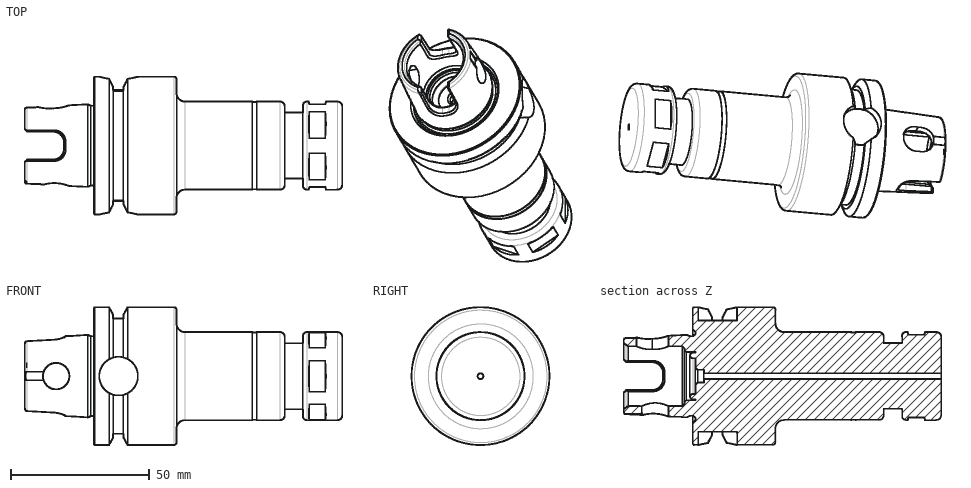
import cadquery as cq
import math


shank_length = 25.0
taper_large_radius = 15.0
taper_large_x = -2.1
taper_slope = 0.05
taper_tip_radius = taper_large_radius - taper_slope * (shank_length + taper_large_x)
tip_fillet = 0.9
relief_radius = 14.5
relief_end_x = -1.0

recess_depth = 1.0
recess_mouth_radius = 16.8
recess_floor_radius = 16.0
recess_root_radius = 15.3

bore_radius = 10.8
bore_mouth_radius = 12.0
bore_mouth_depth = 1.6
bore_bevel_radius = 11.4
bore_bevel_depth = 0.7
bore_depth = 22.0
bore_end_bevel = 0.8
step_mouth_radius = 9.3
step_radius = 8.7
step_depth = 26.0
lip_outer_radius = 17.0 / 2
lip_inner_radius = 12.9 / 2
lip_height = 2.0
socket_radius = 4.5 / 2
socket_mouth_radius = 6.0 / 2
socket_depth = 3.0
through_radius = 2.0 / 2

slot_width = 10.0
slot_length = 14.2
slot_corner_radius = 3.8
slot_edge_chamfer = 0.7
slot_mouth_flare = 1.0
cross_hole_diameter = 9.5
cross_hole_x = 11.4 - shank_length
back_hole_shift = 2.0
tip_flat_width = 3.1
tip_flat_height = 13.75

flange_radius = 25.0
flange_length = 30.0
flange_front_chamfer = 0.4
flange_back_fillet = 1.0
gripper_groove_x = 8.9
gripper_groove_radius = 20.9
gripper_groove_floor_width = 3.7
gripper_groove_mouth_width = 6.7
gripper_flank_radius = 22.3
pocket_diameter = 14.0
pocket_x = 9.0
pocket_floor = 20.2
pocket_pad_thickness = 2.0

sleeve_radius = 32.0 / 2
sleeve_end_x = 69.2
sleeve_root_fillet = 3.0
sleeve_end_fillet = 1.8
mark_groove_x = 57.4
mark_groove_width = 1.7
mark_groove_depth = 0.15
neck_radius = 24.0 / 2

nut_start_x = 75.7
nut_end_x = 90.0
nut_radius = 32.0 / 2
nut_back_fillet = 1.5
nut_front_fillet = 1.8
nut_flat_count = 6
nut_flat_height = 30.0 / 2
nut_flat_start_x = 78.1
nut_flat_end_x = 83.8
nut_flat_wall_run = 0.3

overlap = 1.0


def turned(points):
    """Solid of revolution about X of a closed (x, radius) outline."""
    return cq.Workplane("XY").polyline(points).close().revolve(360, (0, 0, 0), (1, 0, 0))


def rod(start_x, end_x, radius):
    """Round bar along X."""
    return cq.Workplane("YZ", origin=(start_x, 0, 0)).circle(radius).extrude(end_x - start_x)


def make_shank():
    """Hollow taper with a square-edged tip."""
    shank = turned([
        (-shank_length, 0),
        (-shank_length, taper_tip_radius),
        (taper_large_x, taper_large_radius),
        (relief_end_x, relief_radius),
        (recess_depth + overlap, relief_radius),
        (recess_depth + overlap, 0),
    ])
    bore = rod(-shank_length, bore_depth - shank_length, bore_radius)
    return shank.cut(bore.faces(">X").edges().chamfer(bore_end_bevel))


def cut_drive_slots(shank):
    """Open-ended slot through the top and bottom walls, broken along its edges."""
    half_width = slot_width / 2
    slot_end_x = slot_length - shank_length
    slot = (
        cq.Workplane("XY")
        .rect(2 * slot_length, slot_width)
        .extrude(flange_radius, both=True)
        .edges("|Z and >X")
        .fillet(slot_corner_radius)
        .translate((-shank_length, 0, 0))
    )
    shank = shank.cut(slot)
    slot_zone = cq.selectors.BoxSelector(
        (-shank_length + slot_edge_chamfer, -half_width - slot_edge_chamfer, -flange_radius),
        (slot_end_x + slot_edge_chamfer, half_width + slot_edge_chamfer, flange_radius),
    )
    wall_seams = cq.selectors.ParallelDirSelector(cq.Vector(0, 0, 1))
    return shank.edges(slot_zone - wall_seams).chamfer(slot_edge_chamfer)


def trim_tip(shank):
    """Round the outside of the tip, bevel its bore and flare the slot mouths."""
    tip_x = -shank_length
    round_end_x = tip_x + tip_fillet
    round_end_radius = taper_tip_radius + taper_slope * tip_fillet
    face_radius = round_end_radius - tip_fillet
    arc_inset = tip_fillet * (1 - math.sqrt(0.5))
    rounding = (
        cq.Workplane("XY")
        .moveTo(tip_x, face_radius)
        .threePointArc((tip_x + arc_inset, round_end_radius - arc_inset), (round_end_x, round_end_radius))
        .lineTo(round_end_x, round_end_radius + overlap)
        .lineTo(tip_x, round_end_radius + overlap)
        .close()
        .revolve(360, (0, 0, 0), (1, 0, 0))
    )
    bore_mouth = turned([
        (tip_x, 0),
        (tip_x, bore_mouth_radius),
        (tip_x + bore_bevel_depth, bore_bevel_radius),
        (tip_x + bore_mouth_depth, bore_radius),
        (tip_x + bore_mouth_depth, 0),
    ])
    half_width = slot_width / 2
    slot_flare = (
        cq.Workplane("XY")
        .polyline([
            (tip_x, -half_width - slot_mouth_flare),
            (tip_x + slot_mouth_flare, -half_width),
            (tip_x + slot_mouth_flare, half_width),
            (tip_x, half_width + slot_mouth_flare),
        ])
        .close()
        .extrude(flange_radius, both=True)
    )
    return shank.cut(rounding).cut(bore_mouth).cut(slot_flare)


def cut_cross_hole_and_flats(shank):
    hole = (
        cq.Workplane("XZ", origin=(cross_hole_x, 0, 0))
        .circle(cross_hole_diameter / 2)
        .extrude(flange_radius, both=True)
    )
    back_hole = (
        cq.Workplane("XZ", origin=(cross_hole_x - back_hole_shift, 0, 0))
        .circle(cross_hole_diameter / 2)
        .extrude(-flange_radius)
    )
    shank = shank.cut(hole).cut(back_hole)
    flat_length = cross_hole_x + shank_length
    for side in (-1, 1):
        flat = cq.Workplane("XY").box(flat_length, overlap, tip_flat_width, centered=(False, True, True))
        shank = shank.cut(flat.translate((-shank_length, side * (tip_flat_height + overlap / 2), 0)))
    return shank


def make_flange():
    flange = rod(0, flange_length, flange_radius)
    flange = flange.faces("<X").edges().chamfer(flange_front_chamfer)
    flange = flange.faces(">X").edges().fillet(flange_back_fillet)
    half_floor = gripper_groove_floor_width / 2
    half_mouth = gripper_groove_mouth_width / 2
    groove = turned([
        (gripper_groove_x - half_mouth, flange_radius + overlap),
        (gripper_groove_x - half_mouth, flange_radius),
        (gripper_groove_x - half_floor, gripper_flank_radius),
        (gripper_groove_x - half_floor, gripper_groove_radius),
        (gripper_groove_x + half_floor, gripper_groove_radius),
        (gripper_groove_x + half_floor, gripper_flank_radius),
        (gripper_groove_x + half_mouth, flange_radius),
        (gripper_groove_x + half_mouth, flange_radius + overlap),
    ])
    recess = turned([
        (0, 0),
        (0, recess_mouth_radius),
        (recess_depth, recess_floor_radius),
        (recess_depth, recess_root_radius),
        (recess_depth - (recess_root_radius - relief_radius), relief_radius),
        (0, relief_radius),
    ])
    return flange.cut(groove).cut(recess)


def cut_pockets(body):
    """Round flat-bottomed pockets on the -Y and +Y sides of the flange.

    The floor is slightly higher than the edges of the gripper groove beneath
    it, so a round pad completes it there.
    """
    for side in (-1, 1):
        floor_plane = cq.Workplane("XZ", origin=(pocket_x, side * pocket_floor, 0))
        pocket = floor_plane.circle(pocket_diameter / 2).extrude(-side * flange_radius)
        pad = floor_plane.circle(pocket_diameter / 2).extrude(side * pocket_pad_thickness)
        body = body.cut(pocket).union(pad)
    return body


def make_sleeve():
    sleeve = rod(0, sleeve_end_x, sleeve_radius).faces(">X").edges().fillet(sleeve_end_fillet)
    groove_end_x = mark_groove_x + mark_groove_width
    mark_groove = rod(mark_groove_x, groove_end_x, sleeve_radius + overlap).cut(
        rod(mark_groove_x, groove_end_x, sleeve_radius - mark_groove_depth)
    )
    return sleeve.cut(mark_groove)


def make_nut():
    nut = rod(nut_start_x, nut_end_x, nut_radius)
    nut = nut.faces("<X").edges().fillet(nut_back_fillet)
    nut = nut.faces(">X").edges().fillet(nut_front_fillet)
    flat_depth = nut_radius - nut_flat_height
    flat_cutter = (
        cq.Workplane("XY")
        .polyline([
            (nut_flat_start_x, nut_flat_height),
            (nut_flat_end_x, nut_flat_height),
            (nut_flat_end_x + nut_flat_wall_run, nut_flat_height + flat_depth),
            (nut_flat_start_x - nut_flat_wall_run, nut_flat_height + flat_depth),
        ])
        .close()
        .extrude(nut_radius, both=True)
    )
    for index in range(nut_flat_count):
        angle = index * 360 / nut_flat_count
        nut = nut.cut(flat_cutter.rotate((0, 0, 0), (1, 0, 0), angle))
    return nut


def cut_inner_steps(body):
    """Stepped floor of the hollow: a ring shelf, then a well holding a rounded lip."""
    shelf_x = bore_depth - shank_length
    well_x = step_depth - shank_length
    bevel = step_mouth_radius - step_radius
    well = turned([
        (shelf_x, 0),
        (shelf_x, step_mouth_radius),
        (shelf_x + bevel, step_radius),
        (well_x, step_radius),
        (well_x, 0),
    ])
    lip_round = (lip_outer_radius - lip_inner_radius) / 2
    lip_crest_x = well_x - lip_height
    lip = (
        cq.Workplane("XY")
        .moveTo(well_x, lip_inner_radius)
        .lineTo(lip_crest_x + lip_round, lip_inner_radius)
        .threePointArc(
            (lip_crest_x, lip_inner_radius + lip_round),
            (lip_crest_x + lip_round, lip_outer_radius),
        )
        .lineTo(well_x, lip_outer_radius)
        .close()
        .revolve(360, (0, 0, 0), (1, 0, 0))
    )
    socket_bevel = socket_mouth_radius - socket_radius
    socket = turned([
        (well_x, 0),
        (well_x, socket_mouth_radius),
        (well_x + socket_bevel, socket_radius),
        (well_x + socket_depth, socket_radius),
        (well_x + socket_depth, 0),
    ])
    coolant_hole = rod(well_x, nut_end_x, through_radius)
    return body.cut(well.cut(lip)).cut(socket).cut(coolant_hole)


def make_root_fillet():
    """Concave ring blending the back face of the flange into the sleeve."""
    corner_x = flange_length + sleeve_root_fillet
    corner_radius = sleeve_radius + sleeve_root_fillet
    arc_offset = sleeve_root_fillet * math.sqrt(0.5)
    return (
        cq.Workplane("XY")
        .moveTo(flange_length - overlap, sleeve_radius - overlap)
        .lineTo(flange_length - overlap, corner_radius)
        .lineTo(flange_length, corner_radius)
        .threePointArc((corner_x - arc_offset, corner_radius - arc_offset), (corner_x, sleeve_radius))
        .lineTo(corner_x, sleeve_radius - overlap)
        .close()
        .revolve(360, (0, 0, 0), (1, 0, 0))
    )


shank = cut_cross_hole_and_flats(trim_tip(cut_drive_slots(make_shank())))
sleeve = make_sleeve().intersect(rod(flange_length - overlap, sleeve_end_x, flange_radius))
neck = rod(sleeve_end_x - overlap, nut_start_x + overlap, neck_radius)
body = shank.union(make_flange()).union(sleeve).union(make_root_fillet()).union(neck).union(make_nut())
result = cut_pockets(cut_inner_steps(body))